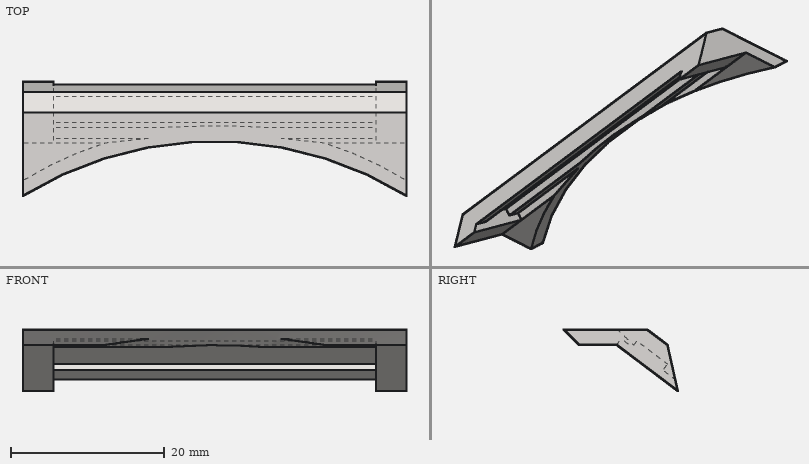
import cadquery as cq
import math

length = 50.0
depth = 14.89
height = 8.02

flange_thickness = 2.0
lip_thickness = 4.0
slope_angle = 37.0

scallop_rise = 7.1
scallop_lean = 45.0

tab_width = 4.0
recess_depth = 1.0
groove_depth = 2.0
groove_start = 1.8
groove_width = 5.0

slope = math.radians(slope_angle)
lip_drop = height - flange_thickness
inner_corner_y = depth - lip_drop / math.tan(slope)
back_corner_y = inner_corner_y + lip_thickness / math.sin(slope)
ridge_y = back_corner_y - flange_thickness / math.tan(slope)
slope_length = lip_drop / math.sin(slope)


def make_blank():
    """Flange and lip section, extruded symmetrically about X = 0."""
    outline = [
        (0, 0),
        (ridge_y, 0),
        (back_corner_y, -flange_thickness),
        (depth, -height),
        (inner_corner_y, -flange_thickness),
        (0, -flange_thickness),
    ]
    return cq.Workplane("YZ").polyline(outline).close().extrude(length / 2, both=True)


def make_scallop_cutter():
    """Oblique cylinder whose circle moves back in Y as it goes down.

    It runs the full height, so it trims the walls of the recess and groove as well as the flange.
    """
    radius = ((length / 2) ** 2 + scallop_rise**2) / (2 * scallop_rise)
    center_y = scallop_rise - radius
    setback = height * math.tan(math.radians(scallop_lean))
    return (
        cq.Workplane("XY")
        .center(0, center_y)
        .circle(radius)
        .workplane(offset=-height)
        .center(0, setback)
        .circle(radius)
        .loft(ruled=True)
    )


def make_slope_pocket(start, run, pocket_depth):
    """Box cut square into the sloped underside, starting a distance down the slope."""
    return (
        cq.Workplane("XY")
        .box(length - 2 * tab_width, run, pocket_depth, centered=(True, False, False))
        .translate((0, start, 0))
        .rotate((0, 0, 0), (1, 0, 0), -slope_angle)
        .translate((0, inner_corner_y, -flange_thickness))
    )


recess = make_slope_pocket(0, slope_length, recess_depth)
groove = make_slope_pocket(groove_start, groove_width, groove_depth)

result = make_blank().cut(make_scallop_cutter()).cut(recess).cut(groove)